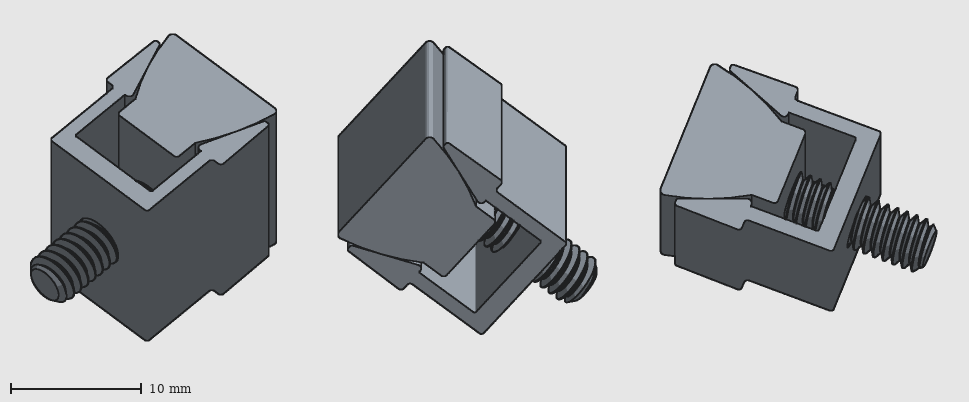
import cadquery as cq
import math

LENGTH_Z = 15.88

CHANNEL_HALF_WIDTH = 5.14
WALL = 1.12
BASE_THICKNESS = 1.63
JAW_BOTTOM = 7.16
JAW_TOP = 12.66
JAW_HALF_WIDTH = 6.12
JAW_TIP_HALF_WIDTH = 6.05
JAW_TIP_INNER = 5.52
FLANK_ANGLE = math.radians(21.2)
BASE_RADIUS = 0.25
FLOOR_RADIUS = 0.15
JAW_RADIUS = 0.28
RAMP_FOOT_RADIUS = 0.35
TIP_RADIUS = 0.2

BLOCK_BOTTOM = 5.38
BLOCK_TOP = 14.1
NECK_HALF_WIDTH = 3.15
CROWN_RADIUS = 18.46
CONTACT_Y = 10.48
BLOCK_TOP_RADIUS = 0.4
NECK_RADIUS = 0.3

OVERALL_LENGTH_Y = 20.07
SCREW_END = BLOCK_TOP - OVERALL_LENGTH_Y
SCREW_RADIUS = 2.09
END_FACE_RADIUS = 1.47
CREST_SPAN = 10.32
TURNS_IN_SPAN = 13
PITCH = CREST_SPAN / TURNS_IN_SPAN
THREAD_DEPTH = 0.52
ROOT_RADIUS = SCREW_RADIUS - THREAD_DEPTH
CREST_FLAT = PITCH / 8
THREAD_HALF_ANGLE = math.radians(30)
FIRST_CREST = 5.02
RIDGE_EMBED = 0.05
OVERRUN_TURNS = 2


def ramp_x(y):
    """Distance of the jaw ramp from the middle plane at height y."""
    return JAW_TIP_INNER - (JAW_TOP - y) * math.tan(FLANK_ANGLE)


def extrude_symmetric(half_profile):
    """Extrude a half outline, which starts and ends on X = 0, and mirror it across X = 0."""
    half = half_profile.close().extrude(LENGTH_Z / 2, both=True)
    return half.union(half.mirror("YZ")).clean()


def fillet_corners(body, corners, radius):
    """Round the Z edges at the given (x, y) corners on both sides of the middle plane."""
    for x, y in corners:
        for side in (-1, 1):
            edge = cq.selectors.NearestToPointSelector((side * x, y, 0))
            body = body.edges("|Z").edges(edge).fillet(radius)
    return body


def make_housing():
    inner = CHANNEL_HALF_WIDTH - WALL
    base_corner = (CHANNEL_HALF_WIDTH, 0)
    neck_corner = (CHANNEL_HALF_WIDTH, JAW_BOTTOM)
    jaw_corner = (JAW_HALF_WIDTH, JAW_BOTTOM)
    tip_outer = (JAW_TIP_HALF_WIDTH, JAW_TOP)
    tip_inner = (JAW_TIP_INNER, JAW_TOP)
    ramp_foot = (ramp_x(JAW_BOTTOM), JAW_BOTTOM)
    floor_corner = (inner, BASE_THICKNESS)
    profile = cq.Workplane("XY").polyline([
        (0, 0), base_corner, neck_corner, jaw_corner, tip_outer, tip_inner,
        ramp_foot, (inner, JAW_BOTTOM), floor_corner, (0, BASE_THICKNESS),
    ])
    body = extrude_symmetric(profile)
    body = fillet_corners(body, [base_corner], BASE_RADIUS)
    body = fillet_corners(body, [floor_corner], FLOOR_RADIUS)
    body = fillet_corners(body, [neck_corner, jaw_corner], JAW_RADIUS)
    body = fillet_corners(body, [ramp_foot], RAMP_FOOT_RADIUS)
    body = fillet_corners(body, [tip_outer, tip_inner], TIP_RADIUS)
    hole = cq.Workplane("XZ").circle(SCREW_RADIUS).extrude(-BASE_THICKNESS)
    return body.cut(hole)


def make_block():
    contact = (ramp_x(CONTACT_Y), CONTACT_Y)
    centre_x = contact[0] - CROWN_RADIUS * math.cos(FLANK_ANGLE)
    centre_y = contact[1] + CROWN_RADIUS * math.sin(FLANK_ANGLE)
    shoulder_y = centre_y - math.sqrt(CROWN_RADIUS**2 - (NECK_HALF_WIDTH - centre_x)**2)
    top_x = centre_x + math.sqrt(CROWN_RADIUS**2 - (BLOCK_TOP - centre_y)**2)
    neck_corner = (NECK_HALF_WIDTH, BLOCK_BOTTOM)
    top_corner = (top_x, BLOCK_TOP)
    profile = (
        cq.Workplane("XY")
        .moveTo(0, BLOCK_BOTTOM)
        .lineTo(*neck_corner)
        .lineTo(NECK_HALF_WIDTH, shoulder_y)
        .threePointArc(contact, top_corner)
        .lineTo(0, BLOCK_TOP)
    )
    body = extrude_symmetric(profile)
    body = fillet_corners(body, [neck_corner], NECK_RADIUS)
    return fillet_corners(body, [top_corner], BLOCK_TOP_RADIUS)


def make_thread_ridge(length):
    """Right-hand helical ridge around +Z, starting on the +X side at Z = 0."""
    inner_radius = ROOT_RADIUS - RIDGE_EMBED
    crest_half = CREST_FLAT / 2
    inner_half = crest_half + (SCREW_RADIUS - inner_radius) * math.tan(THREAD_HALF_ANGLE)
    helix = cq.Workplane(cq.Wire.makeHelix(PITCH, length, ROOT_RADIUS))
    section = cq.Workplane("XZ").polyline([
        (inner_radius, -inner_half), (SCREW_RADIUS, -crest_half),
        (SCREW_RADIUS, crest_half), (inner_radius, inner_half),
    ]).close()
    return section.sweep(helix, isFrenet=True)


def make_screw_envelope():
    """Space between the block's underside and the tip, with a 45 degree cone around the tip."""
    radius = 2 * SCREW_RADIUS
    return (
        cq.Workplane("XY")
        .moveTo(0, SCREW_END)
        .lineTo(END_FACE_RADIUS, SCREW_END)
        .lineTo(radius, SCREW_END + radius - END_FACE_RADIUS)
        .lineTo(radius, BLOCK_BOTTOM)
        .lineTo(0, BLOCK_BOTTOM)
        .close()
        .revolve(360, (0, 0), (0, 1))
    )


def make_screw():
    turns = math.ceil((BLOCK_BOTTOM - SCREW_END) / PITCH) + 2 * OVERRUN_TURNS
    length = turns * PITCH
    core = cq.Workplane("XY").circle(ROOT_RADIUS).extrude(length)
    thread_start = FIRST_CREST + OVERRUN_TURNS * PITCH
    rod = (
        core.union(make_thread_ridge(length))
        .rotate((0, 0, 0), (0, 0, 1), 180)
        .rotate((0, 0, 0), (1, 0, 0), 90)
        .translate((0, thread_start, 0))
    )
    return rod.intersect(make_screw_envelope())


housing = make_housing()
block = make_block()
screw = make_screw()

result = cq.Compound.makeCompound([housing.val(), block.val(), screw.val()])